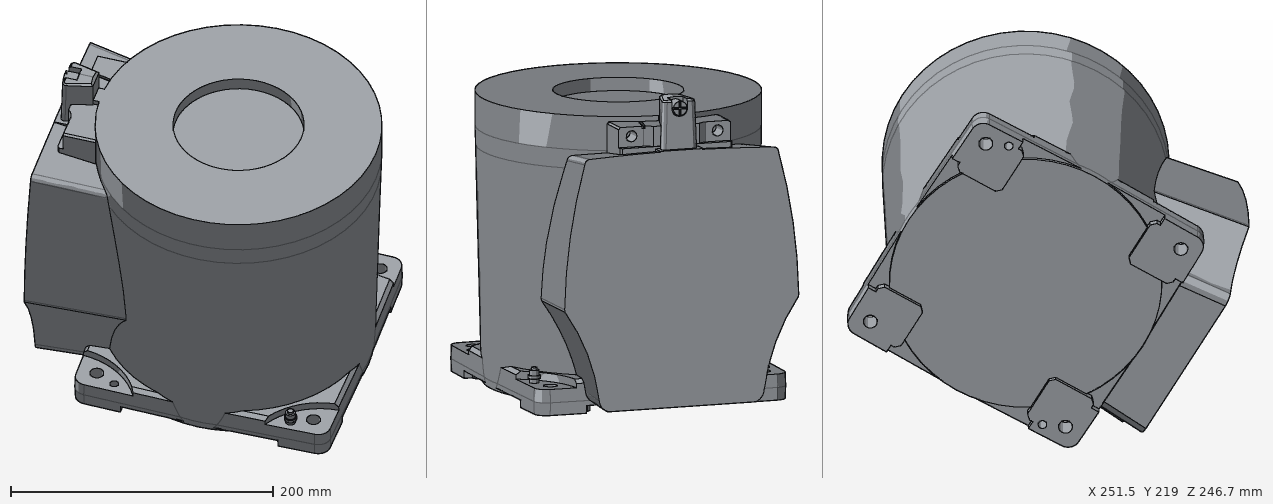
import cadquery as cq


DRUM_DIAMETER = 219.0
DRUM_RADIUS = DRUM_DIAMETER / 2
DRUM_TOP = 229.0
RIM_BOTTOM = 202.5
BAND_BOTTOM = 187.5
BAND_RADIUS = 109.2
DRUM_FOOT_RADIUS = 104.5
DRUM_BOTTOM_RADIUS = 103.9
DRUM_BOTTOM = 3.8
RECESS_RADIUS = 50.0
RECESS_DEPTH = 10.3

BASE_HALF = 101.9
BASE_CROWN = 2.0
BASE_DRAFT = 2.5
BASE_UNDERSIDE = 6.0
PARTING_Z = 10
BASE_TOP = 26.7
BASE_CORNER_RADIUS = 10
BASE_TOP_CHAMFER = 3.0
POCKET_FLOOR = 20.4
POCKET_RADIUS = 59.4
POCKET_X = 105.1
POCKET_Y = 130.3
FOOT_INNER = 63
FOOT_PAD_INNER = 56.0
FOOT_PAD_OUTER = 95.5
FOOT_PAD_CHAMFER = 3.8
BOLT_OFFSET = 86.5
BOLT_HOLE_RADIUS = 5.3
PIN_X = 70.5
PIN_Y = 93.8
PIN_HOLE_RADIUS = 3.3
SCREW_HEAD_RADIUS = 3.8
SCREW_FLANGE_RADIUS = 4.8
SCREW_TIP_RADIUS = 2.3
SCREW_FLANGE_BOTTOM = 23.6
SCREW_FLANGE_TOP = 26.2
SCREW_HEAD_TOP = 30.2
SCREW_TIP_TOP = 32.2

OVERALL_LENGTH = 251.5
DUCT_FACE_X = DRUM_RADIUS - OVERALL_LENGTH
DUCT_LENGTH = 95.5
DUCT_BOTTOM_CORNER = (59.5, 8.0)
DUCT_BOTTOM_BEND = (64.5, 11.0)
DUCT_LOWER_SIDE = (67.0, 16.9)
DUCT_LOWER_MIDDLE = (76.0, 52.5)
DUCT_RIDGE_BOTTOM = (94.8, 87.8)
DUCT_RIDGE_TOP = (95.0, 89.8)
DUCT_UPPER_MIDDLE = (90.3, 147.1)
DUCT_UPPER_SIDE = (78.7, 201.2)
DUCT_TOP_BEND = (77.2, 204.2)
DUCT_TOP_CORNER = (74.2, 205.2)
DUCT_CROWN = (0, 207.2)
DUCT_SIDE_SLOPE = 0.12
DUCT_LOWER_SIDE_SLOPE = 0.08
DUCT_RIDGE_DROP = 0.072
DUCT_TOP_DROP = 0.13

CLAMP_HALF_WIDTH = 45.5
CLAMP_FACE_X = -126.0
CLAMP_TOP = 225.0
CLAMP_CHAMFER = 1.5
CLAMP_BACK_X = -100.3
CLAMP_BOTTOM = 196.2
PLINTH_FACE_X = -130.8
PLINTH_TOP = 209.5
BULGE_FACE_X = -130.0
BULGE_INNER = 18.5
BULGE_OUTER = 25.2
BULGE_HOLLOW = 0.6
CLAMP_HOLE_Y = 35.0
CLAMP_HOLE_Z = 217.8
CLAMP_HOLE_RADIUS = 4.3
CLAMP_HOLE_DEPTH = 15
GROOVE_LENGTH = 16.5
GROOVE_WIDTH = 2.3
GROOVE_DEPTH = 2.0
GROOVE_Y = 25.2
GROOVE_ANGLE = -12

TOWER_FACE_X = -137.3
TOWER_BACK_X = -114.0
TOWER_FACE_HALF = 13.8
TOWER_BACK_HALF = 8.0
TOWER_FLARE = 2.0
TOWER_SHOULDER = 245.5
TOWER_TOP = 246.7
TOWER_EDGE_RADIUS = 3.0
TOWER_TOP_CHAMFER = 2.3
TOWER_PAD_HALF = 17.4
TOWER_PAD_TOP = 207.7
NECK_HALF = 7.0
TOWER_SLOT_HALF = 6.3
TOWER_SLOT_BACK_X = -127.3
TOWER_SCREW_Z = 239.5
TOWER_SCREW_RADIUS = 5.5
TOWER_SCREW_FACE_X = -138.5
CROSS_WIDTH = 1.3
CROSS_DEPTH = 1.5

QUADRANTS = [(sx, sy) for sx in (-1, 1) for sy in (-1, 1)]


def box(x0, x1, y0, y1, z0, z1):
    return cq.Workplane("XY").box(x1 - x0, y1 - y0, z1 - z0, centered=False).translate((x0, y0, z0))


def post(x, y, radius, z0, z1):
    return cq.Workplane("XY", origin=(x, y, z0)).circle(radius).extrude(z1 - z0)


def make_drum():
    profile = (
        cq.Workplane("XZ")
        .moveTo(0, DRUM_BOTTOM)
        .lineTo(DRUM_BOTTOM_RADIUS, DRUM_BOTTOM)
        .lineTo(DRUM_FOOT_RADIUS, PARTING_Z)
        .lineTo(BAND_RADIUS, BAND_BOTTOM)
        .lineTo(DRUM_RADIUS, RIM_BOTTOM)
        .lineTo(DRUM_RADIUS, DRUM_TOP)
        .lineTo(0, DRUM_TOP)
        .close()
    )
    return profile.revolve(360, (0, 0, 0), (0, 1, 0))


def base_slab(height):
    """Drafted slab standing on Z = 0, its four sides slightly crowned in the middle."""
    half = BASE_HALF
    crown = BASE_HALF + BASE_CROWN
    corners = [(-half, -half), (half, -half), (half, half), (-half, half)]
    middles = [(0, -crown), (crown, 0), (0, crown), (-crown, 0)]
    points = [point for pair in zip(corners, middles) for point in pair]
    outline = cq.Sketch().polygon(points + points[:1]).vertices().fillet(BASE_CORNER_RADIUS)
    return cq.Workplane("XY").placeSketch(outline).extrude(height, taper=BASE_DRAFT)


def make_base():
    upper = base_slab(BASE_TOP - PARTING_Z).faces(">Z").chamfer(BASE_TOP_CHAMFER)
    upper = upper.translate((0, 0, PARTING_Z))
    lower = base_slab(PARTING_Z).mirror("XY").translate((0, 0, PARTING_Z))
    reach = 2 * BASE_HALF
    for recess in (
        box(-FOOT_INNER, FOOT_INNER, -reach, reach, 0, BASE_UNDERSIDE),
        box(-reach, reach, -FOOT_INNER, FOOT_INNER, 0, BASE_UNDERSIDE),
    ):
        lower = lower.cut(recess)
    base = upper.union(lower)
    pad_size = FOOT_PAD_OUTER - FOOT_PAD_INNER
    pad_centre = (FOOT_PAD_OUTER + FOOT_PAD_INNER) / 2
    for sx, sy in QUADRANTS:
        base = base.cut(post(sx * POCKET_X, sy * POCKET_Y, POCKET_RADIUS, POCKET_FLOOR, BASE_TOP))
        pad = (
            cq.Workplane("XY")
            .box(pad_size, pad_size, PARTING_Z, centered=(True, True, False))
            .edges("|Z")
            .chamfer(FOOT_PAD_CHAMFER)
            .translate((sx * pad_centre, sy * pad_centre, 0))
        )
        base = base.union(pad)
    return base


def cut_base_holes(body):
    for sx, sy in QUADRANTS:
        body = body.cut(post(sx * BOLT_OFFSET, sy * BOLT_OFFSET, BOLT_HOLE_RADIUS, 0, BASE_TOP))
    for side in (-1, 1):
        body = body.cut(post(side * PIN_X, side * PIN_Y, PIN_HOLE_RADIUS, 0, BASE_TOP))
    return body


def make_earth_screw(x, y):
    return (
        post(x, y, SCREW_HEAD_RADIUS, POCKET_FLOOR, SCREW_HEAD_TOP)
        .union(post(x, y, SCREW_FLANGE_RADIUS, SCREW_FLANGE_BOTTOM, SCREW_FLANGE_TOP))
        .union(post(x, y, SCREW_TIP_RADIUS, SCREW_HEAD_TOP, SCREW_TIP_TOP))
    )


def duct_section(distance):
    """Closed outline of the duct, at a distance inwards from its outer face."""
    narrowing = DUCT_SIDE_SLOPE * distance
    lower_narrowing = DUCT_LOWER_SIDE_SLOPE * distance
    ridge_drop = DUCT_RIDGE_DROP * distance
    top_drop = DUCT_TOP_DROP * distance

    def inset(point, sideways, down):
        return (point[0] - sideways, point[1] - down)

    bottom_corner = inset(DUCT_BOTTOM_CORNER, lower_narrowing, 0)
    bottom_bend = inset(DUCT_BOTTOM_BEND, lower_narrowing, 0)
    lower_side = inset(DUCT_LOWER_SIDE, lower_narrowing, 0)
    lower_middle = inset(DUCT_LOWER_MIDDLE, lower_narrowing, ridge_drop / 2)
    ridge_bottom = inset(DUCT_RIDGE_BOTTOM, narrowing, ridge_drop)
    ridge_top = inset(DUCT_RIDGE_TOP, narrowing, ridge_drop)
    upper_middle = inset(DUCT_UPPER_MIDDLE, narrowing, (ridge_drop + top_drop) / 2)
    upper_side = inset(DUCT_UPPER_SIDE, narrowing, top_drop)
    top_bend = inset(DUCT_TOP_BEND, narrowing, top_drop)
    top_corner = inset(DUCT_TOP_CORNER, narrowing, top_drop)
    crown = inset(DUCT_CROWN, 0, top_drop)

    def mirrored(point):
        return (-point[0], point[1])

    return (
        cq.Workplane("YZ", origin=(DUCT_FACE_X + distance, 0, 0))
        .moveTo(*mirrored(bottom_corner))
        .lineTo(*bottom_corner)
        .threePointArc(bottom_bend, lower_side)
        .threePointArc(lower_middle, ridge_bottom)
        .lineTo(*ridge_top)
        .threePointArc(upper_middle, upper_side)
        .threePointArc(top_bend, top_corner)
        .threePointArc(crown, mirrored(top_corner))
        .threePointArc(mirrored(top_bend), mirrored(upper_side))
        .threePointArc(mirrored(upper_middle), mirrored(ridge_top))
        .lineTo(*mirrored(ridge_bottom))
        .threePointArc(mirrored(lower_middle), mirrored(lower_side))
        .threePointArc(mirrored(bottom_bend), mirrored(bottom_corner))
        .close()
        .wire()
        .val()
    )


def make_duct():
    sections = [duct_section(0), duct_section(DUCT_LENGTH)]
    return cq.Workplane("XY").newObject([cq.Solid.makeLoft(sections, True)])


def make_clamp():
    width = CLAMP_HALF_WIDTH
    block = (
        box(CLAMP_FACE_X, CLAMP_BACK_X, -width, width, CLAMP_BOTTOM, CLAMP_TOP)
        .faces(">Z")
        .edges("|X")
        .chamfer(CLAMP_CHAMFER)
    )
    plinth = box(PLINTH_FACE_X, CLAMP_BACK_X, -width, width, CLAMP_BOTTOM, PLINTH_TOP)
    plinth = plinth.edges("|Z and <X").chamfer(CLAMP_CHAMFER)
    hollow_x = BULGE_FACE_X + BULGE_HOLLOW * (CLAMP_FACE_X - BULGE_FACE_X)
    hollow_y = BULGE_OUTER + BULGE_HOLLOW * (BULGE_INNER - BULGE_OUTER)
    bulge = (
        cq.Workplane("XY", origin=(0, 0, CLAMP_BOTTOM))
        .moveTo(BULGE_FACE_X, -BULGE_INNER)
        .lineTo(BULGE_FACE_X, BULGE_INNER)
        .threePointArc((hollow_x, hollow_y), (CLAMP_FACE_X, BULGE_OUTER))
        .lineTo(CLAMP_BACK_X, BULGE_OUTER)
        .lineTo(CLAMP_BACK_X, -BULGE_OUTER)
        .lineTo(CLAMP_FACE_X, -BULGE_OUTER)
        .threePointArc((hollow_x, -hollow_y), (BULGE_FACE_X, -BULGE_INNER))
        .close()
        .extrude(CLAMP_TOP - CLAMP_BOTTOM)
    )
    holes = (
        cq.Workplane("YZ", origin=(CLAMP_FACE_X, 0, CLAMP_HOLE_Z))
        .pushPoints([(-CLAMP_HOLE_Y, 0), (CLAMP_HOLE_Y, 0)])
        .circle(CLAMP_HOLE_RADIUS)
        .extrude(CLAMP_HOLE_DEPTH)
    )
    groove = (
        cq.Workplane("XY")
        .box(GROOVE_LENGTH, GROOVE_WIDTH, GROOVE_DEPTH, centered=(False, True, False))
        .rotate((0, 0, 0), (0, 0, 1), GROOVE_ANGLE)
        .translate((CLAMP_FACE_X, GROOVE_Y, CLAMP_TOP - GROOVE_DEPTH))
    )
    return block.union(plinth).union(bulge).cut(holes).cut(groove)


def tower_section(z, flare):
    """Trapezium across the tower, wider at its -X face."""
    face = TOWER_FACE_X - flare / 2
    face_half = TOWER_FACE_HALF + flare
    return (
        cq.Workplane("XY", origin=(0, 0, z))
        .moveTo(face, -face_half)
        .lineTo(face, face_half)
        .lineTo(TOWER_BACK_X, TOWER_BACK_HALF)
        .lineTo(TOWER_BACK_X, -TOWER_BACK_HALF)
        .close()
        .wire()
        .val()
    )


def make_tower():
    sections = [tower_section(CLAMP_BOTTOM, TOWER_FLARE), tower_section(TOWER_TOP, 0)]
    tower = cq.Workplane("XY").newObject([cq.Solid.makeLoft(sections, True)])
    roof_half = TOWER_FACE_HALF + TOWER_FLARE
    roof = (
        cq.Workplane("YZ", origin=(DUCT_FACE_X, 0, 0))
        .moveTo(-roof_half, CLAMP_BOTTOM)
        .lineTo(-roof_half, TOWER_SHOULDER)
        .lineTo(-TOWER_FACE_HALF, TOWER_SHOULDER)
        .lineTo(0, TOWER_TOP)
        .lineTo(TOWER_FACE_HALF, TOWER_SHOULDER)
        .lineTo(roof_half, TOWER_SHOULDER)
        .lineTo(roof_half, CLAMP_BOTTOM)
        .close()
        .extrude(TOWER_BACK_X - DUCT_FACE_X)
    )
    tower = tower.faces("<X").edges("not |Y").fillet(TOWER_EDGE_RADIUS)
    tower = tower.faces(">Z").chamfer(TOWER_TOP_CHAMFER).intersect(roof)
    neck = box(TOWER_BACK_X, -BAND_RADIUS, -NECK_HALF, NECK_HALF, CLAMP_BOTTOM, DRUM_TOP)
    pad = box(DUCT_FACE_X, PLINTH_FACE_X, -TOWER_PAD_HALF, TOWER_PAD_HALF, CLAMP_BOTTOM, TOWER_PAD_TOP)
    screw_plane = cq.Workplane("YZ", origin=(TOWER_SLOT_BACK_X, 0, TOWER_SCREW_Z))
    slot = (
        screw_plane.circle(TOWER_SLOT_HALF)
        .extrude(DUCT_FACE_X - TOWER_SLOT_BACK_X)
        .union(
            box(DUCT_FACE_X, TOWER_SLOT_BACK_X, -TOWER_SLOT_HALF, TOWER_SLOT_HALF, TOWER_SCREW_Z, TOWER_TOP)
        )
    )
    screw = screw_plane.circle(TOWER_SCREW_RADIUS).extrude(TOWER_SCREW_FACE_X - TOWER_SLOT_BACK_X)
    cross_plane = cq.Workplane("YZ", origin=(TOWER_SCREW_FACE_X, 0, TOWER_SCREW_Z))
    bar = 2 * TOWER_SCREW_RADIUS
    for size_y, size_z in ((bar, CROSS_WIDTH), (CROSS_WIDTH, bar)):
        screw = screw.cut(cross_plane.rect(size_y, size_z).extrude(CROSS_DEPTH))
    return tower.union(neck).union(pad).cut(slot).union(screw)


body = make_drum().union(make_base())
body = cut_base_holes(body)
for side in (-1, 1):
    body = body.union(make_earth_screw(side * PIN_X, -side * PIN_Y))
body = body.union(make_duct()).union(make_clamp()).union(make_tower())
recess = post(0, 0, RECESS_RADIUS, DRUM_TOP - RECESS_DEPTH, DRUM_TOP)
result = body.cut(recess)